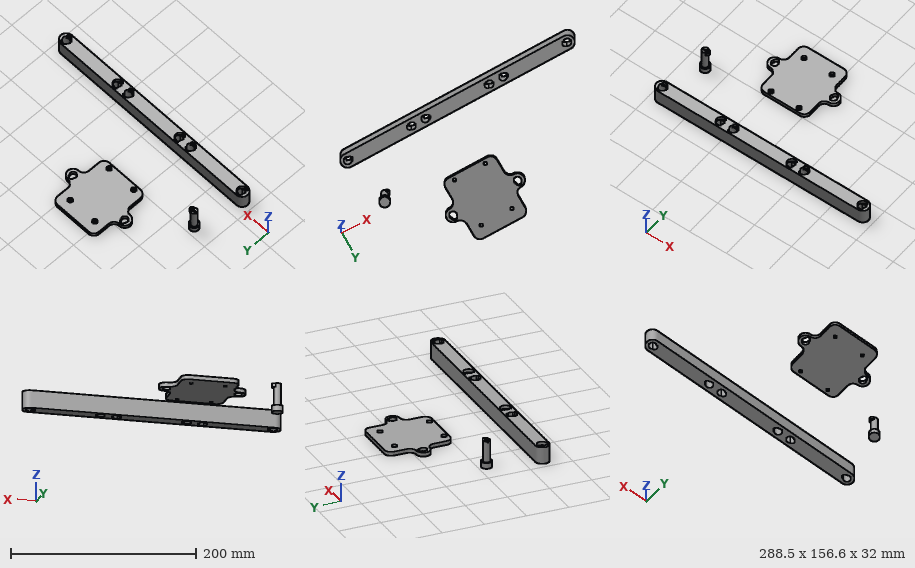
import cadquery as cq
import math

bar_length = 288.5
bar_width = 16.2
bar_height = 20.0
bar_end_radius = bar_width / 2
ear_spacing = 80.0
outer_hole_x = bar_length / 2 - bar_end_radius
inner_hole_x = ear_spacing / 2
middle_hole_x = outer_hole_x - ear_spacing

pin_x = -124.3
pin_y = 60.5
pin_length = 32.0
head_diameter = 12.0
head_height = 7.0
shaft_diameter = 8.0
nib_diameter = 6.0
nib_reach = head_diameter / 2
nib_height = 4.0
arrow_depth = 1.5
arrow_line_width = 1.0
arrow_head_width = 3.2
arrow_head_start = 1.7
arrow_head_tip = 4.3

keyhole_diameter = 8.5
keyhole_key_diameter = 6.3
keyhole_reach = nib_reach
recess_depth = nib_height
recess_radius = keyhole_reach
recess_flat = nib_diameter / 2

plate_x = -27.5
plate_y = 109.5
plate_width = 64.0
plate_depth = 78.0
plate_thickness = 5.0
plate_corner_radius = 7.8
ear_radius = 8.0
screw_spacing_x = 38.0
screw_spacing_y = 58.5
screw_edge_distance = 5.2
screw_diameter = 3.5
screw_head_diameter = 6.0
screw_head_depth = 3.2


def key_profile(diameter, key_diameter, key_reach, height):
    """Cylinder with a smaller cylinder, the key, standing out of its +X side to the given reach."""
    shaft = cq.Workplane("XY").circle(diameter / 2).extrude(height)
    key = cq.Workplane("XY").center(key_reach - key_diameter / 2, 0).circle(key_diameter / 2).extrude(height)
    return shaft.union(key)


def turning_recess():
    """Disc in which the nib turns a quarter either way, cut off flat on the -X side."""
    disc = cq.Workplane("XY").circle(recess_radius).extrude(recess_depth)
    room = cq.Workplane("XY").box(
        recess_flat + recess_radius, 2 * recess_radius, recess_depth, centered=(False, True, False)
    )
    return disc.intersect(room.translate((-recess_flat, 0, 0)))


def make_bar():
    bar = cq.Workplane("XY").slot2D(bar_length, bar_width).extrude(bar_height)
    cutter = key_profile(keyhole_diameter, keyhole_key_diameter, keyhole_reach, bar_height)
    cutter = cutter.union(turning_recess().translate((0, 0, bar_height - recess_depth)))
    holes = [
        (-outer_hole_x, 0),
        (-middle_hole_x, 180),
        (-inner_hole_x, 0),
        (inner_hole_x, 180),
        (middle_hole_x, 0),
        (outer_hole_x, 180),
    ]
    for x, angle in holes:
        bar = bar.cut(cutter.rotate((0, 0, 0), (0, 0, 1), angle).translate((x, 0, 0)))
    return bar


def make_arrow():
    """Arrow engraved in the pin's top, pointing at the nib."""
    line_length = shaft_diameter / 2 + arrow_head_start
    line = (
        cq.Workplane("XY")
        .center(arrow_head_start - line_length / 2, 0)
        .rect(line_length, arrow_line_width)
        .extrude(arrow_depth)
    )
    head = (
        cq.Workplane("XY")
        .moveTo(arrow_head_start, -arrow_head_width / 2)
        .lineTo(arrow_head_tip, 0)
        .lineTo(arrow_head_start, arrow_head_width / 2)
        .close()
        .extrude(arrow_depth)
    )
    return line.union(head)


def make_pin():
    pin = cq.Workplane("XY").circle(head_diameter / 2).extrude(head_height)
    pin = pin.union(cq.Workplane("XY").circle(shaft_diameter / 2).extrude(pin_length))
    nib = key_profile(shaft_diameter, nib_diameter, nib_reach, nib_height)
    pin = pin.union(nib.translate((0, 0, pin_length - nib_height)))
    pin = pin.cut(make_arrow().translate((0, 0, pin_length - arrow_depth)))
    return pin.translate((pin_x, pin_y, 0))


def make_ear(side):
    """Ear on the +X (side = 1) or -X (side = -1) plate edge, blended into it by two hollow arcs."""
    edge_x = side * plate_width / 2
    centre_x = side * ear_spacing / 2
    blend_end_x = edge_x + side * plate_corner_radius
    blend_start_y = ear_radius + plate_corner_radius
    blend_middle = plate_corner_radius * (1 - math.sqrt(0.5))
    blend_middle_x = edge_x + side * blend_middle
    blend_middle_y = ear_radius + blend_middle
    return (
        cq.Workplane("XY")
        .moveTo(edge_x, blend_start_y)
        .threePointArc((blend_middle_x, blend_middle_y), (blend_end_x, ear_radius))
        .lineTo(centre_x, ear_radius)
        .threePointArc((centre_x + side * ear_radius, 0), (centre_x, -ear_radius))
        .lineTo(blend_end_x, -ear_radius)
        .threePointArc((blend_middle_x, -blend_middle_y), (edge_x, -blend_start_y))
        .close()
        .extrude(plate_thickness)
    )


def make_plate():
    plate = cq.Workplane("XY").rect(plate_width, plate_depth).extrude(plate_thickness)
    plate = plate.edges("|Z").fillet(plate_corner_radius)
    keyhole = key_profile(keyhole_diameter, keyhole_key_diameter, keyhole_reach, plate_thickness)
    keyhole = keyhole.rotate((0, 0, 0), (0, 0, 1), 90)
    for side in (-1, 1):
        plate = plate.union(make_ear(side))
        plate = plate.cut(keyhole.translate((side * ear_spacing / 2, 0, 0)))
    screw_centre_y = -plate_depth / 2 + screw_edge_distance + screw_spacing_y / 2
    plate = (
        plate.faces(">Z")
        .workplane(origin=(0, screw_centre_y, plate_thickness))
        .rect(screw_spacing_x, screw_spacing_y, forConstruction=True)
        .vertices()
        .cboreHole(screw_diameter, screw_head_diameter, screw_head_depth)
    )
    return plate.translate((plate_x, plate_y, 0))


bar = make_bar()
pin = make_pin()
plate = make_plate()

result = cq.Compound.makeCompound([bar.val(), pin.val(), plate.val()])